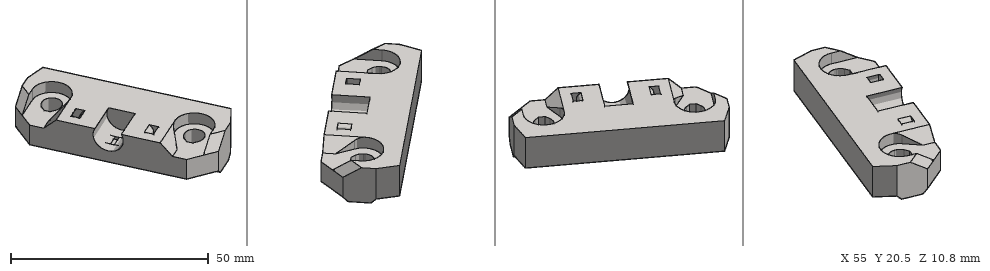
import cadquery as cq
import math

length = 55.0
depth = 20.5
foot_height = 1.3
height = 10.8 - foot_height
half_length = length / 2

front_corner = 6.25
back_corner_x = 2.05
back_corner_y = 5.8
end_back_y = depth - back_corner_y

foot_length = 13.0

screw_x = 19.3
screw_y = 10.5
seat_radius = 5.2
seat_depth = 3.35
seat_taper = math.radians(30)
hole_radius = 2.65
hole_stretch = 0.45
hole_flat = 3.15

rod_radius = 4.05
rod_axis_depth = 1.9
rod_length = 9.8
rod_axis_z = height - rod_axis_depth

tie_width = 3.5
tie_front_y = 2.95
tie_inner_half_width = 9.9
tie_outer_half_width = 12.1
tie_overlap = 0.03
tie_inner_half_height = rod_radius - tie_overlap
tie_outer_half_height = tie_inner_half_height * tie_outer_half_width / tie_inner_half_width


def make_body():
    """Plate with 45 degree front corners and steeper back corners."""
    outline = [
        (-half_length + front_corner, 0),
        (half_length - front_corner, 0),
        (half_length, front_corner),
        (half_length, end_back_y),
        (half_length - back_corner_x, depth),
        (-half_length + back_corner_x, depth),
        (-half_length, end_back_y),
        (-half_length, front_corner),
    ]
    return cq.Workplane("XY").polyline(outline).close().extrude(height)


def make_left_foot():
    """Bar under the left end with 45 degree front and back flanks."""
    profile = [
        (front_corner, 0),
        (front_corner + foot_height, -foot_height),
        (end_back_y - foot_height, -foot_height),
        (end_back_y, 0),
    ]
    foot = cq.Workplane("YZ").polyline(profile).close().extrude(foot_length)
    return foot.translate((-half_length, 0, 0))


def make_left_seat():
    """Round seat narrowing to the front, joined to a trough with a 45 degree inner wall."""
    floor_z = height - seat_depth
    tangent_x = seat_radius * math.cos(seat_taper)
    tangent_y = seat_radius * math.sin(seat_taper)
    apex_y = seat_radius / math.sin(seat_taper)

    seat = (
        cq.Workplane("XY", origin=(-screw_x, screw_y, floor_z))
        .moveTo(-tangent_x, -tangent_y)
        .threePointArc((0, seat_radius), (tangent_x, -tangent_y))
        .lineTo(0, -apex_y)
        .close()
        .extrude(seat_depth)
    )
    trough_profile = [
        (-seat_radius, 0),
        (seat_radius - seat_depth, 0),
        (seat_radius, seat_depth),
        (-seat_radius, seat_depth),
    ]
    trough = (
        cq.Workplane("XZ", origin=(-screw_x, screw_y, floor_z))
        .polyline(trough_profile)
        .close()
        .extrude(screw_y)
    )
    return seat.union(trough)


def make_left_hole():
    """Vertical through hole, slightly stretched in Y, with a flat-tipped 45 degree front."""
    side = hole_radius * math.sqrt(0.5)
    half_stretch = hole_stretch / 2
    flat_half_width = 2 * side + half_stretch - hole_flat
    return (
        cq.Workplane("XY", origin=(-screw_x, screw_y, -foot_height))
        .moveTo(-hole_radius, half_stretch)
        .threePointArc((0, half_stretch + hole_radius), (hole_radius, half_stretch))
        .lineTo(hole_radius, -half_stretch)
        .radiusArc((side, -half_stretch - side), hole_radius)
        .lineTo(flat_half_width, -hole_flat)
        .lineTo(-flat_half_width, -hole_flat)
        .lineTo(-side, -half_stretch - side)
        .radiusArc((-hole_radius, -half_stretch), hole_radius)
        .close()
        .extrude(foot_height + height)
    )


def make_left_corner_slope():
    """Wedge that slopes the top edge of the front corner at 45 degrees."""
    wedge = [(0, -seat_depth), (0, 0), (-seat_depth, 0)]
    corner_plane = cq.Plane(
        origin=(-half_length + front_corner / 2, front_corner / 2, height),
        xDir=(-1, -1, 0),
        normal=(-1, 1, 0),
    )
    return cq.Workplane(corner_plane).polyline(wedge).close().extrude(2 * front_corner, both=True)


def make_rod_groove():
    """Blind round groove entering from the front face."""
    return cq.Workplane("XZ", origin=(0, 0, rod_axis_z)).circle(rod_radius).extrude(-rod_length)


def make_tie_channel():
    """Ring that opens on both sides of the rod and just grazes the groove floor."""
    return (
        cq.Workplane("XZ", origin=(0, tie_front_y, rod_axis_z))
        .ellipse(tie_outer_half_width, tie_outer_half_height)
        .ellipse(tie_inner_half_width, tie_inner_half_height)
        .extrude(-tie_width)
    )


def with_mirror(left):
    """Join a left-hand shape with its right-hand twin."""
    return left.union(left.mirror("YZ"))


result = (
    make_body()
    .union(with_mirror(make_left_foot()))
    .cut(with_mirror(make_left_corner_slope()))
    .cut(with_mirror(make_left_seat()))
    .cut(with_mirror(make_left_hole()))
    .cut(make_rod_groove())
    .cut(make_tie_channel())
)